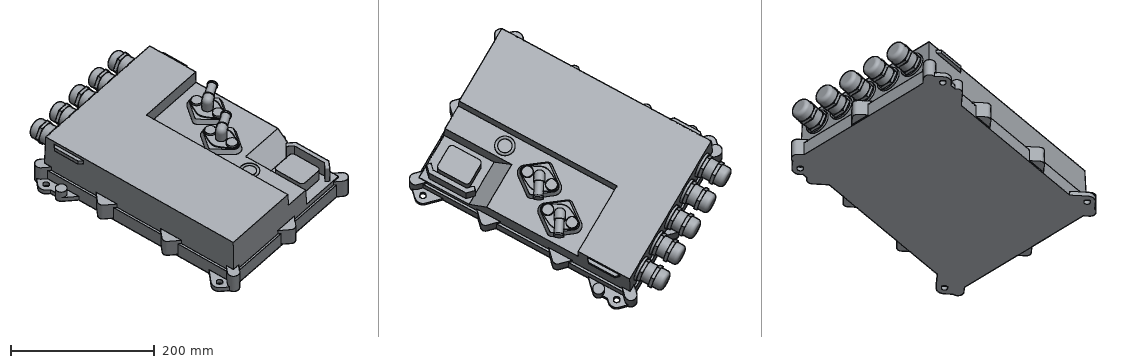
import cadquery as cq
import math

overall_y = 285.0
overall_z = 90.0

base_half_x = 172.0
base_half_y = 121.0
base_height = 23.5
cover_half_x = 169.0
cover_half_y = 117.5
cover_top = 80.8
cover_draft = 1.6

wall_draft = 3.0
recess_x = -85.0
recess_y = 6.0
recess_floor = 60.0
pocket_x = 61.0
pocket_ramp_length = 27.5
pocket_y = 45.0
pocket_floor = 32.0
cut_overrun = 19.7

lug_top = 30.0
lug_bottom = 2.55
lug_tip_radius = 7.0
lug_reach = 12.2
long_side_lug_x = 57.5
left_lug_y = 6.7
corner_lug_radius = 8.5
corner_lug_length = 19.7

foot_thickness = 7.5
foot_radius = 12.0
foot_hole_diameter = 9.0
foot_hole_x = 155.0
foot_hole_y = overall_y / 2 - foot_radius
boss_x = -127.0
boss_y = 132.0
boss_radius = 8.3
boss_height = 18.0
boss_web_y = 135.5

strip_center_x = -126.0
strip_length = 53.5
strip_bevel = 6.0
strip_bottom = 70.0
strip_top = 76.0
strip_outer_y = 121.5

gland_tip_x = -209.5
gland_z = 52.0
gland_pitch = 43.5
gland_count = 5
gland_radius = 15.0
gland_tip_round = 5.5
gland_hex_diameter = 35.5
gland_hex_width = 5.0
gland_hex_offsets = (14.5, 33.0)
gland_collar_radius = 18.5
gland_collar_offset = 38.0
gland_embed = 4.0

fitting_centers = ((-36.0, 80.5), (16.0, 46.0))
pad_half_x = 41.5
pad_half_y = 31.5
pad_end_radius = 12.0
pad_side_radius = 7.5
pad_height = 6.7
pad_inset = 3.5
flange_height = 1.5
flange_mid_radius = 18.0
flange_end_radius = 9.0
bolt_offset = 19.5
bolt_radius = 8.3
bolt_top = 71.7
elbow_radius = 16.0 / 2
elbow_axis_z = overall_z - elbow_radius
elbow_arm = 9.0
hose_radius = 6.7
hose_length = 33.0
hose_lip_radius = 7.5
hose_lip_width = 2.8
hose_angle = 116.4

ring_x = 82.7
ring_y = 26.0
ring_radius = 12.2
ring_section_radius = 2.15

connector_x = 126.0
connector_y = 78.5
connector_size_x = 51.5
connector_size_y = 40.5
connector_top = 50.0
connector_corner_radius = 6.0
guard_outer_y = 112.0
guard_thickness = 6.7
guard_half_length = 29.5
guard_bend = 45.0
guard_wing = 10.0
guard_top = 58.0
guard_end_round = 2.8


def prism(points, bottom, top):
    """Upright prism over a closed polygon."""
    return cq.Workplane("XY").workplane(offset=bottom).polyline(points).close().extrude(top - bottom)


def cylinder_z(x, y, radius, bottom, top):
    return cq.Workplane("XY").workplane(offset=bottom).center(x, y).circle(radius).extrude(top - bottom)


def mirrored_in_y(shape):
    return shape.union(shape.mirror("XZ"))


def make_housing():
    base = cq.Workplane("XY").rect(2 * base_half_x, 2 * base_half_y).extrude(base_height)
    cover = (
        cq.Workplane("XY")
        .workplane(offset=base_height)
        .rect(2 * cover_half_x, 2 * cover_half_y)
        .extrude(cover_top - base_height, taper=cover_draft)
    )
    return base.union(cover)


def drafted_cutter(x_start, y_edge, floor, top):
    """Cutter open at +X and +Y whose -Y wall leans outwards towards the top."""
    y_end = cover_half_y + cut_overrun
    y_floor = y_edge + (top - floor) * math.tan(math.radians(wall_draft))
    return (
        cq.Workplane("YZ")
        .workplane(offset=x_start)
        .polyline([(y_edge, top), (y_floor, floor), (y_end, floor), (y_end, top)])
        .close()
        .extrude(cover_half_x + cut_overrun - x_start)
    )


def make_recess():
    return drafted_cutter(recess_x, recess_y, recess_floor, cover_top)


def make_pocket():
    ramp_end = pocket_x + pocket_ramp_length
    ramp = (
        cq.Workplane("XZ")
        .polyline([(pocket_x, recess_floor), (pocket_x, pocket_floor), (ramp_end, pocket_floor)])
        .close()
        .extrude(-(cover_half_y + cut_overrun))
    )
    return drafted_cutter(pocket_x, pocket_y, pocket_floor, recess_floor).cut(ramp)


def make_side_lug(x, y, direction):
    """Pointed 45 degree lug with a rounded tip; (x, y) lies on the base wall, direction in degrees."""
    apex = lug_reach + lug_tip_radius * (math.sqrt(2) - 1)
    root = -2 * lug_reach
    lug = prism([(apex, 0), (root, apex - root), (root, root - apex)], lug_bottom, lug_top)
    lug = lug.edges("|Z and >X").fillet(lug_tip_radius)
    return lug.rotate((0, 0, 0), (0, 0, 1), direction).translate((x, y, 0))


def make_corner_lug(x_sign, y_sign):
    """Round-ended lug pointing diagonally out of a base corner."""
    direction = math.degrees(math.atan2(y_sign, x_sign))
    bar = cq.Workplane("XY").rect(corner_lug_length, 2 * corner_lug_radius).extrude(lug_top)
    bar = bar.translate((-corner_lug_length / 2, 0, 0))
    lug = bar.union(cylinder_z(0, 0, corner_lug_radius, 0, lug_top))
    lug = lug.rotate((0, 0, 0), (0, 0, 1), direction)
    return lug.translate((x_sign * base_half_x, y_sign * base_half_y, 0))


def make_foot(boss_web):
    """Foot at the +X +Y corner; with boss_web its inner flank runs on to the boss (boss X taken positive)."""
    tangent = foot_radius / math.sqrt(2)
    flank_sum = foot_hole_x + foot_hole_y + 2 * tangent
    flank_difference = foot_hole_x - foot_hole_y - 2 * tangent
    inner_y = cover_half_y
    foot = (
        cq.Workplane("XY")
        .moveTo(base_half_x, inner_y)
        .lineTo(base_half_x, flank_sum - base_half_x)
        .lineTo(foot_hole_x + tangent, foot_hole_y + tangent)
        .threePointArc(
            (foot_hole_x, foot_hole_y + foot_radius),
            (foot_hole_x - tangent, foot_hole_y + tangent),
        )
    )
    if boss_web:
        boss_tangent = boss_radius / math.sqrt(2)
        web_end_x = -boss_x - boss_tangent
        web_end_y = boss_y + boss_tangent
        foot = (
            foot.lineTo(flank_difference + boss_web_y, boss_web_y)
            .lineTo(-boss_x, boss_web_y)
            .lineTo(web_end_x, web_end_y)
            .lineTo(web_end_x - (web_end_y - inner_y), inner_y)
        )
    else:
        foot = foot.lineTo(flank_difference + inner_y, inner_y)
    foot = foot.close().extrude(foot_thickness)
    return foot.cut(cylinder_z(foot_hole_x, foot_hole_y, foot_hole_diameter / 2, 0, foot_thickness))


def make_feet():
    right_foot = make_foot(boss_web=False)
    left_foot = make_foot(boss_web=True).mirror("YZ")
    boss = cylinder_z(boss_x, boss_y, boss_radius, 0, boss_height)
    return mirrored_in_y(right_foot.union(left_foot).union(boss))


def make_strips():
    half = strip_length / 2
    root_y = strip_outer_y - strip_bevel
    points = [
        (-half, root_y),
        (-half + strip_bevel, strip_outer_y),
        (half - strip_bevel, strip_outer_y),
        (half, root_y),
    ]
    return mirrored_in_y(prism(points, strip_bottom, strip_top).translate((strip_center_x, 0, 0)))


def make_gland(y):
    """Gland along X, built from its tip at X = 0 towards the cover wall."""
    length = -cover_half_x - gland_tip_x + gland_embed
    gland = cq.Workplane("YZ").circle(gland_radius).extrude(length)
    gland = gland.faces("<X").edges().fillet(gland_tip_round)
    for offset in gland_hex_offsets:
        nut = cq.Workplane("YZ").workplane(offset=offset).polygon(6, gland_hex_diameter)
        gland = gland.union(nut.extrude(gland_hex_width))
    collar = cq.Workplane("YZ").workplane(offset=gland_collar_offset).circle(gland_collar_radius)
    gland = gland.union(collar.extrude(length - gland_collar_offset))
    return gland.translate((gland_tip_x, y, gland_z))


def make_pad():
    outline = [(pad_half_x, 0), (0, pad_half_y), (-pad_half_x, 0), (0, -pad_half_y)]
    pad = prism(outline, 0, pad_height)
    pad = pad.edges("|Z and (<X or >X)").fillet(pad_end_radius)
    pad = pad.edges("|Z and (<Y or >Y)").fillet(pad_side_radius)
    lean = math.degrees(math.atan2(pad_inset, pad_height))
    rounded_outline = pad.faces("<Z").wires().val()
    return cq.Workplane("XY").add(rounded_outline).toPending().extrude(pad_height, taper=lean)


def make_flange():
    """Plate outlined by a middle circle, two end circles and their common tangents."""
    tilt = math.asin((flange_mid_radius - flange_end_radius) / bolt_offset)
    sine = math.sin(tilt)
    cosine = math.cos(tilt)
    mid_x, mid_y = flange_mid_radius * sine, flange_mid_radius * cosine
    end_x, end_y = bolt_offset + flange_end_radius * sine, flange_end_radius * cosine
    tip_x = bolt_offset + flange_end_radius
    return (
        cq.Workplane("XY")
        .moveTo(-mid_x, mid_y)
        .threePointArc((0, flange_mid_radius), (mid_x, mid_y))
        .lineTo(end_x, end_y)
        .threePointArc((tip_x, 0), (end_x, -end_y))
        .lineTo(mid_x, -mid_y)
        .threePointArc((0, -flange_mid_radius), (-mid_x, -mid_y))
        .lineTo(-end_x, -end_y)
        .threePointArc((-tip_x, 0), (-end_x, end_y))
        .close()
        .extrude(pad_height + flange_height)
    )


def make_elbow():
    """Vertical pipe, ball corner and horizontal hose spigot, heights measured from the recess floor."""
    axis_z = elbow_axis_z - recess_floor
    elbow = cylinder_z(0, 0, elbow_radius, 0, axis_z)
    elbow = elbow.union(cq.Workplane("XY").sphere(elbow_radius).translate((0, 0, axis_z)))
    for radius, start, end in (
        (elbow_radius, 0, elbow_arm),
        (hose_radius, 0, hose_length),
        (hose_lip_radius, hose_length - hose_lip_width, hose_length),
    ):
        section = cq.Workplane("YZ").workplane(offset=start).center(0, axis_z).circle(radius)
        elbow = elbow.union(section.extrude(end - start))
    return elbow.rotate((0, 0, 0), (0, 0, 1), hose_angle)


def make_fitting(x, y):
    fitting = make_pad().union(make_flange()).union(make_elbow())
    for side in (-1, 1):
        bolt = cylinder_z(side * bolt_offset, 0, bolt_radius, 0, bolt_top - recess_floor)
        fitting = fitting.union(bolt)
    return fitting.translate((x, y, recess_floor))


def make_ring():
    """Torus centred on the recess floor, so that its upper half stands proud."""
    section = cq.Workplane("XZ").center(ring_radius, 0).circle(ring_section_radius)
    torus = section.revolve(360, (-ring_radius, 0), (-ring_radius, 1))
    return torus.translate((ring_x, ring_y, recess_floor))


def make_connector():
    block = (
        cq.Workplane("XY")
        .workplane(offset=pocket_floor)
        .center(connector_x, connector_y)
        .rect(connector_size_x, connector_size_y)
        .extrude(connector_top - pocket_floor)
    )
    return block.edges("|Z").fillet(connector_corner_radius)


def make_guard():
    """Plate of constant thickness whose two ends are bent 45 degrees towards -Y."""
    bend_shift = guard_thickness * math.tan(math.radians(guard_bend / 2))
    end_shift = guard_thickness * math.sin(math.radians(guard_bend))
    outer_bend = guard_half_length
    inner_bend = guard_half_length - bend_shift
    outer_end_x = guard_half_length + guard_wing
    outer_end_y = guard_outer_y - guard_wing
    inner_y = guard_outer_y - guard_thickness
    right_half = [
        (outer_bend, guard_outer_y),
        (outer_end_x, outer_end_y),
        (outer_end_x - end_shift, outer_end_y - end_shift),
        (inner_bend, inner_y),
    ]
    left_half = [(-x, y) for x, y in reversed(right_half)]
    guard = prism(right_half + left_half, pocket_floor, guard_top)
    for direction in ((1, -1, 0), (-1, -1, 0)):
        end_face = guard.faces(cq.selectors.DirectionMinMaxSelector(cq.Vector(*direction)))
        guard = end_face.edges(">Z").fillet(guard_end_round)
    return guard.translate((connector_x, 0, 0))


result = make_housing().cut(make_recess()).cut(make_pocket())

for side in (-1, 1):
    for lug_x in (-long_side_lug_x, long_side_lug_x):
        result = result.union(make_side_lug(lug_x, side * base_half_y, side * 90))
    for end in (-1, 1):
        result = result.union(make_corner_lug(end, side))
result = result.union(make_side_lug(base_half_x, 0, 0))
result = result.union(make_side_lug(-base_half_x, left_lug_y, 180))

result = result.union(make_feet()).union(make_strips())

for index in range(gland_count):
    gland_y = (index - (gland_count - 1) / 2) * gland_pitch
    result = result.union(make_gland(gland_y))

for center_x, center_y in fitting_centers:
    result = result.union(make_fitting(center_x, center_y))
result = result.union(make_ring()).union(make_connector()).union(make_guard())